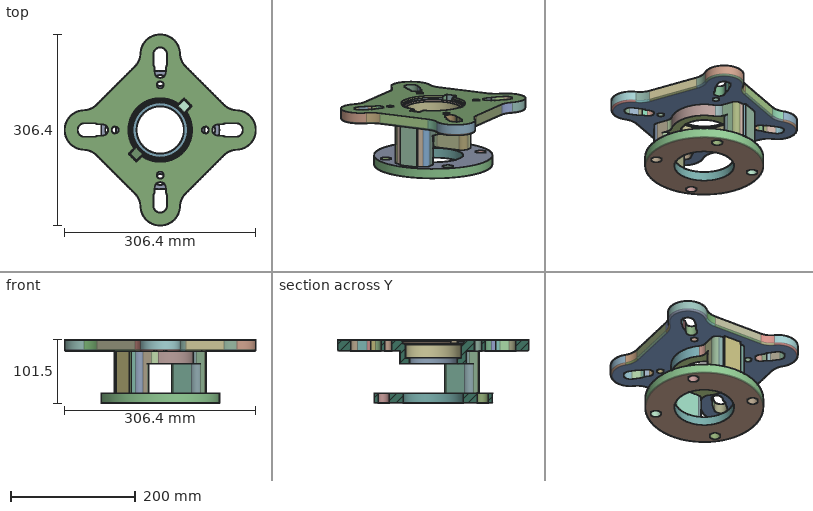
import cadquery as cq
import math

half_span = 153.2
height = 101.5
diagonal = 45.0

plate_thickness = 18.0
plate_bottom = height - plate_thickness
lobe_radius = 32.0
lobe_center = half_span - lobe_radius
edge_distance = 100.8
lobe_blend_radius = 30.0
plate_edge_round = 2.8

wide_slot_radius = 10.7
wide_slot_inner_center = 106.3
narrow_slot_radius = 9.0
narrow_slot_inner_center = 92.5
small_hole_radius = 5.5
small_hole_circle_radius = 72.0

flange_radius = 95.0
flange_thickness = 16.0
flange_edge_round = 1.2
flange_bore_radius = 47.8
bolt_hole_radius = 8.5
bolt_circle_radius = 79.3

post_half_width = 30.3
post_outer_radius = 82.5
post_inner_distance = 50.0
post_corner_radius = 10.0
rib_half_width = 15.0
rib_outer_distance = 85.0

collar_radius = 53.3
collar_bottom = 63.0
collar_blend_radius = 14.0

mouth_radius = 48.7
mouth_depth = 5.5
seat_radius = 44.0
seat_depth = 28.8
through_radius = 37.7
bore_chamfer = 2.5

notch_half_width = 9.0
notch_outer_distance = 62.8
notch_floor_start = seat_radius + bore_chamfer
notch_floor_depth = 10.0
notch_draft = 8.0

opposite_sides = (diagonal, diagonal + 180)
quarter_turns = (0, 90, 180, 270)


def cylinder(radius, bottom, top, x=0.0):
    return cq.Workplane("XY").workplane(offset=bottom).center(x, 0).circle(radius).extrude(top - bottom)


def block(x_start, x_end, half_width, bottom, top):
    size = (x_end - x_start, 2 * half_width, top - bottom)
    return cq.Workplane("XY").box(*size, centered=False).translate((x_start, -half_width, bottom))


def turned(shape, angle):
    return shape.rotate((0, 0, 0), (0, 0, 1), angle)


def turned_point(point, angle):
    x, y = point
    cosine = math.cos(math.radians(angle))
    sine = math.sin(math.radians(angle))
    return (x * cosine - y * sine, x * sine + y * cosine)


def between(start, end, distance):
    """Point at a distance from start on the straight line to end."""
    fraction = distance / math.dist(start, end)
    return (start[0] + fraction * (end[0] - start[0]), start[1] + fraction * (end[1] - start[1]))


def top_plate():
    lobe_offset = lobe_center / math.sqrt(2)
    blend_distance = edge_distance + lobe_blend_radius
    reach = lobe_radius + lobe_blend_radius
    along_edge = lobe_offset - math.sqrt(reach**2 - (blend_distance - lobe_offset) ** 2)
    blend_center = turned_point((blend_distance, -along_edge), diagonal)
    edge_end = turned_point((edge_distance, -along_edge), diagonal)
    lobe_end = between((lobe_center, 0), blend_center, lobe_radius)
    chord_middle = between(edge_end, lobe_end, math.dist(edge_end, lobe_end) / 2)
    blend_middle = between(blend_center, chord_middle, lobe_blend_radius)

    def mirrored(point):
        return (point[0], -point[1])

    outline = cq.Workplane("XY").workplane(offset=plate_bottom).moveTo(*mirrored(edge_end))
    for angle in quarter_turns:
        if angle:
            outline = outline.lineTo(*turned_point(mirrored(edge_end), angle))
        blend_points = [turned_point(mirrored(point), angle) for point in (blend_middle, lobe_end)]
        outline = (
            outline.threePointArc(*blend_points)
            .threePointArc(turned_point((half_span, 0), angle), turned_point(lobe_end, angle))
            .threePointArc(turned_point(blend_middle, angle), turned_point(edge_end, angle))
        )
    return outline.close().extrude(plate_thickness).faces("<Z").edges().fillet(plate_edge_round)


def slot(inner_center, outer_center, radius):
    return (
        block(inner_center, outer_center, radius, plate_bottom, height)
        .union(cylinder(radius, plate_bottom, height, inner_center))
        .union(cylinder(radius, plate_bottom, height, outer_center))
    )


def plate_openings():
    wide_slot = slot(wide_slot_inner_center, lobe_center, wide_slot_radius)
    narrow_slot = slot(narrow_slot_inner_center, wide_slot_inner_center, narrow_slot_radius)
    small_hole = cylinder(small_hole_radius, plate_bottom, height, small_hole_circle_radius)
    return wide_slot.union(narrow_slot).union(small_hole)


def flange():
    disc = cylinder(flange_radius, 0, flange_thickness).faces("<Z").edges().fillet(flange_edge_round)
    return disc.cut(cylinder(flange_bore_radius, 0, flange_thickness))


def post():
    body = block(post_inner_distance, flange_radius, post_half_width, flange_thickness, plate_bottom)
    body = body.intersect(cylinder(post_outer_radius, flange_thickness, plate_bottom))
    body = body.edges("|Z").fillet(post_corner_radius)
    rib_start = (post_inner_distance + rib_outer_distance) / 2
    return body.union(
        block(rib_start, rib_outer_distance, rib_half_width, flange_thickness, plate_bottom))


def collar():
    blend_y = post_half_width + collar_blend_radius
    blend_x = math.sqrt((collar_radius + collar_blend_radius) ** 2 - blend_y**2)
    web = block(-blend_x, blend_x, blend_y, collar_bottom, plate_bottom)
    for side in (1, -1):
        for end in (1, -1):
            corner = cylinder(collar_blend_radius, collar_bottom, plate_bottom)
            web = web.cut(corner.translate((end * blend_x, side * blend_y, 0)))
    touch = collar_radius / (collar_radius + collar_blend_radius)
    web = web.intersect(
        block(-blend_x, blend_x, touch * blend_y, collar_bottom, plate_bottom))
    bridge_end = post_inner_distance + post_corner_radius
    bridge = block(-bridge_end, bridge_end, post_half_width, collar_bottom, plate_bottom)
    ring = cylinder(collar_radius, collar_bottom, plate_bottom)
    return turned(ring.union(web).union(bridge), diagonal)


def stepped_bore():
    mouth_bottom = height - mouth_depth
    profile = [
        (0, height),
        (mouth_radius + bore_chamfer, height),
        (mouth_radius, height - bore_chamfer),
        (mouth_radius, mouth_bottom),
        (seat_radius + bore_chamfer, mouth_bottom),
        (seat_radius, mouth_bottom - bore_chamfer),
        (seat_radius, height - seat_depth),
        (through_radius, height - seat_depth),
        (through_radius, collar_bottom),
        (0, collar_bottom),
    ]
    return cq.Workplane("XZ").polyline(profile).close().revolve(360, (0, 0, 0), (0, 1, 0))


def key_notch():
    pocket = (
        cq.Workplane("XY")
        .workplane(offset=height)
        .center(notch_outer_distance / 2, 0)
        .rect(notch_outer_distance, 2 * notch_half_width)
        .extrude(-plate_thickness, taper=notch_draft)
    )
    above_floor = (
        cq.Workplane("XZ")
        .polyline([
            (notch_floor_start, height),
            (notch_floor_start, height - mouth_depth),
            (notch_outer_distance, height - notch_floor_depth),
            (notch_outer_distance, height),
        ])
        .close()
        .extrude(notch_half_width, both=True)
    )
    return pocket.intersect(above_floor)


result = top_plate().union(flange()).union(collar())
for side_angle in opposite_sides:
    result = result.union(turned(post(), side_angle))

result = result.cut(stepped_bore())
for side_angle in opposite_sides:
    result = result.cut(turned(key_notch(), side_angle))
for turn in quarter_turns:
    result = result.cut(turned(plate_openings(), turn))
    result = result.cut(turned(cylinder(bolt_hole_radius, 0, flange_thickness, bolt_circle_radius), turn))